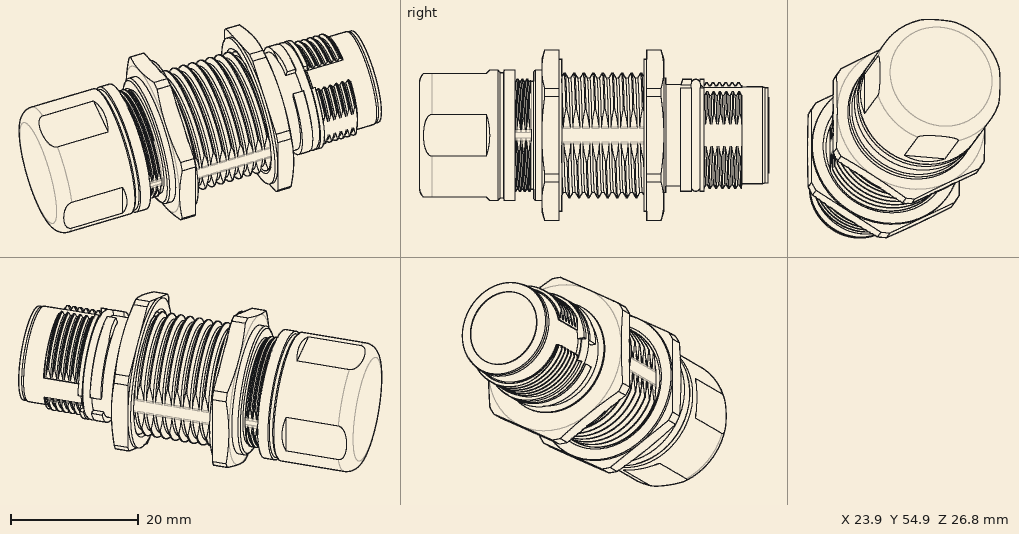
import cadquery as cq
import math

total_length = 54.85

cap_radius = 10.25
cap_fillet = 2.0
cap_flat_distance = 9.71
cap_flat_end = 10.5
cap_flat_run_out = 0.6
cap_flat_count = 4

ring_bevel = 0.3
collar_end = 12.35
groove_radius = 9.85
groove_start = 12.65
groove_end = 13.2
front_ring_start = 13.6
front_ring_end = 15.0
back_ring_start = 17.9
back_ring_end = 19.2

hex_across_flats = 23.9
hex_corner_radius = 13.4
hex_thickness = 3.15
hex_washer_thickness = 0.45
hex_chamfer_height = 0.45
nut_countersink_radius = 10.2
nut_countersink_depth = 0.6
front_nut_start = back_ring_end
back_nut_end = 38.35

shoulder_radius = 9.0
shoulder_end = 38.65
neck_radius = 7.98
neck_end = 44.2
neck_taper_end = 44.5
plug_collar_radius = 8.8
rear_collar_start = 40.95
rear_collar_end = 42.7
front_collar_start = 44.0
front_collar_end = 44.65
oring_center = 43.35
oring_tube_radius = 0.72
oring_embed = 0.3
tube_radius = 7.62
tube_tip_radius = 7.5
tube_tip_lip = 0.5
tube_tip_bevel = 0.35
tip_boss_radius = 5.95
tip_boss_height = 0.15

top_keyway_left = 1.2
top_keyway_right = 4.7
collar_side_keyway = (-3.65, 0.0)
thread_side_keyway = (-2.7, 1.4)

bevel_start_position = 41.3
bevel_slope = 3.0

body_pitch = 1.5
body_root = 9.0
body_crest = 9.8
body_flat = 8.9
plug_pitch = 1.0
plug_root = 7.82
plug_crest = 8.32
plug_thread_end = 50.6
cap_pitch = 0.75
cap_root = 8.48
cap_crest = 8.81
cap_thread_flat = 8.43
cap_thread_end = 17.55

body_crest_position = 34.78
plug_crest_position = 50.05
cap_crest_position = 16.9

thread_flank_angle = 30.0
crest_half_width = 0.09
root_overlap = 0.04
ridge_end_gap = 0.1
thread_embed = 0.5
oversize = 40.0


def revolve_profile(points):
    """Solid of revolution about Y from (radius, y) points."""
    return cq.Workplane("XY").polyline(points).close().revolve(360, (0, 0, 0), (0, 1, 0))


def cylinder(radius, start, end):
    return cq.Workplane("XZ", origin=(0, start, 0)).circle(radius).extrude(start - end)


def tube(inner_radius, outer_radius, start, end):
    return cylinder(outer_radius, start, end).cut(cylinder(inner_radius, start, end))


def box_between(x_range, y_range, z_range):
    size = [high - low for low, high in (x_range, y_range, z_range)]
    return cq.Workplane("XY").box(*size, centered=False).translate((x_range[0], y_range[0], z_range[0]))


def thread(pitch, root, crest, crest_position, start, end, flat_distance):
    """Right-handed thread with its core, cut flat on the +X and -X sides."""
    turns_before = math.ceil((crest_position - start) / pitch + 0.5)
    turns_after = math.ceil((end - crest_position) / pitch + 0.5)
    height = (turns_before + turns_after) * pitch
    inner = root - root_overlap
    base_half_width = crest_half_width + (crest - inner) * math.tan(math.radians(thread_flank_angle))
    helix = cq.Workplane(cq.Wire.makeHelix(pitch, height, root))
    ridge = (
        cq.Workplane("XZ")
        .polyline([
            (inner, -base_half_width),
            (crest, -crest_half_width),
            (crest, crest_half_width),
            (inner, base_half_width),
        ])
        .close()
        .sweep(helix, isFrenet=True)
    )
    ridge = ridge.rotate((0, 0, 0), (1, 0, 0), -90).rotate((0, 0, 0), (0, 1, 0), -90)
    ridge = ridge.translate((0, crest_position - turns_before * pitch, 0))
    envelope = tube(inner - root_overlap, crest + 1, start + ridge_end_gap, end - ridge_end_gap)
    core = cylinder(root, start, end)
    for side_range in ((-oversize, -flat_distance), (flat_distance, oversize)):
        cutter = box_between(side_range, (start - 1, end + 1), (-oversize, oversize))
        core = core.cut(cutter)
        envelope = envelope.cut(cutter)
    return core.union(ridge.intersect(envelope, clean=False), clean=False)


def make_cap():
    profile = (
        cq.Workplane("XY")
        .moveTo(0, 0)
        .lineTo(cap_radius - cap_fillet, 0)
        .radiusArc((cap_radius, cap_fillet), -cap_fillet)
        .lineTo(cap_radius, collar_end)
        .lineTo(groove_radius, groove_start)
        .lineTo(groove_radius, groove_end)
        .lineTo(cap_radius, front_ring_start - ring_bevel)
        .lineTo(cap_radius, front_ring_end)
        .lineTo(0, front_ring_end)
        .close()
    )
    cap = profile.revolve(360, (0, 0, 0), (0, 1, 0))
    flat_cutter = (
        cq.Workplane("YZ")
        .polyline([
            (-1, cap_flat_distance),
            (cap_flat_end, cap_flat_distance),
            (cap_flat_end + cap_flat_run_out, cap_flat_distance + cap_flat_run_out),
            (-1, cap_flat_distance + cap_flat_run_out),
        ])
        .close()
        .extrude(cap_radius, both=True)
    )
    for index in range(cap_flat_count):
        cap = cap.cut(flat_cutter.rotate((0, 0, 0), (0, 1, 0), index * 360 / cap_flat_count))
    return cap


def make_back_ring():
    return revolve_profile([
        (0, back_ring_start),
        (cap_radius - ring_bevel, back_ring_start),
        (cap_radius, back_ring_start + ring_bevel),
        (cap_radius, back_ring_end),
        (0, back_ring_end),
    ])


def make_nut():
    """Hexagon nut starting at y = 0 with its countersunk washer face at the far end."""
    face_radius = hex_across_flats / 2
    hexagon_end = hex_thickness - hex_washer_thickness
    hexagon = (
        cq.Workplane("XZ")
        .polygon(6, hex_across_flats, circumscribed=True)
        .extrude(-hexagon_end)
    )
    envelope = revolve_profile([
        (0, 0),
        (face_radius, 0),
        (hex_corner_radius, hex_chamfer_height),
        (hex_corner_radius, hexagon_end),
        (0, hexagon_end),
    ])
    countersink = revolve_profile([
        (0, hex_thickness - nut_countersink_depth),
        (nut_countersink_radius - nut_countersink_depth, hex_thickness - nut_countersink_depth),
        (nut_countersink_radius, hex_thickness),
        (0, hex_thickness),
    ])
    washer = cylinder(face_radius, 0, hex_thickness)
    return hexagon.intersect(envelope).union(washer).cut(countersink)


def make_nuts():
    front_nut = make_nut().mirror("XZ").translate((0, front_nut_start + hex_thickness, 0))
    front_nut = front_nut.mirror("XZ", (0, front_nut_start + hex_thickness / 2, 0))
    back_nut = make_nut().mirror("XZ").translate((0, back_nut_end, 0))
    return front_nut.union(back_nut)


def cut_keyways(body, side_range, start, end):
    top = box_between((top_keyway_left, top_keyway_right), (start, end), (0, oversize))
    side = box_between((-oversize, 0), (start, end), side_range)
    return body.cut(top).cut(side)


def make_plug():
    core = revolve_profile([
        (0, back_nut_end),
        (shoulder_radius, back_nut_end),
        (shoulder_radius, shoulder_end),
        (neck_radius, shoulder_end),
        (neck_radius, neck_end),
        (tube_radius, neck_taper_end),
        (tube_radius, total_length - tip_boss_height - tube_tip_lip - tube_tip_bevel),
        (tube_tip_radius, total_length - tip_boss_height - tube_tip_lip),
        (tube_tip_radius, total_length - tip_boss_height),
        (tip_boss_radius, total_length - tip_boss_height),
        (tip_boss_radius, total_length),
        (0, total_length),
    ])
    rear_collar = cylinder(plug_collar_radius, rear_collar_start, rear_collar_end)
    bevel_drop = bevel_slope * (bevel_start_position - rear_collar_start)
    bevel_cutter = (
        cq.Workplane("YZ", origin=(top_keyway_left, 0, 0))
        .polyline([
            (bevel_start_position, plug_collar_radius),
            (rear_collar_start, plug_collar_radius - bevel_drop),
            (rear_collar_start, plug_collar_radius),
        ])
        .close()
        .extrude(-plug_collar_radius - top_keyway_left)
    )
    rear_collar = rear_collar.cut(bevel_cutter)
    front_collar = cylinder(plug_collar_radius, front_collar_start, front_collar_end)
    plug_thread = thread(
        plug_pitch, plug_root, plug_crest, plug_crest_position,
        front_collar_start, plug_thread_end, tube_radius,
    )
    collars = cut_keyways(
        rear_collar.union(front_collar), collar_side_keyway, rear_collar_start, front_collar_end
    )
    plug_thread = cut_keyways(
        plug_thread, thread_side_keyway, front_collar_start, plug_thread_end
    )
    oring_axis_radius = plug_collar_radius - oring_tube_radius
    oring = (
        cq.Workplane("XY")
        .moveTo(neck_radius - oring_embed, oring_center - oring_tube_radius)
        .lineTo(oring_axis_radius, oring_center - oring_tube_radius)
        .threePointArc((plug_collar_radius, oring_center), (oring_axis_radius, oring_center + oring_tube_radius))
        .lineTo(neck_radius - oring_embed, oring_center + oring_tube_radius)
        .close()
        .revolve(360, (0, 0, 0), (0, 1, 0))
    )
    return core.union(collars).union(plug_thread).union(oring)


body_thread = thread(
    body_pitch, body_root, body_crest, body_crest_position,
    front_nut_start + thread_embed, back_nut_end - thread_embed, body_flat,
)
cap_thread = thread(
    cap_pitch, cap_root, cap_crest, cap_crest_position,
    front_ring_end - thread_embed, cap_thread_end, cap_thread_flat,
)
relief = cylinder(cap_root, cap_thread_end, back_ring_start)

result = make_cap().union(make_back_ring()).union(make_nuts()).union(relief)
for section in (cap_thread, body_thread, make_plug()):
    result = result.union(section, clean=False)